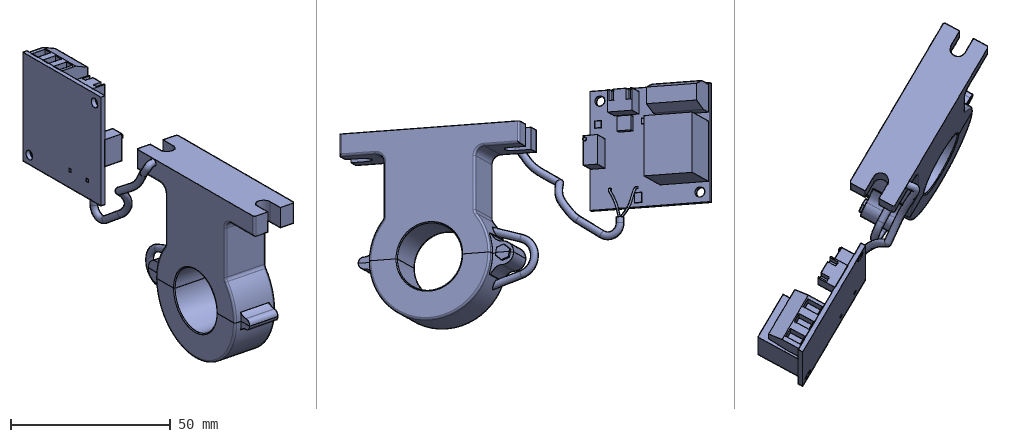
import cadquery as cq
import math


DEPTH = 16.1
RING_RADIUS = 20.2
BORE_RADIUS = 10.8
BORE_CHAMFER = 0.4
EDGE_FILLET = 0.7
NECK_WIDTH = 30.5
NECK_TOP_FILLET = 3.0
NECK_BASE_FILLET = 2.0
FLANGE_WIDTH = 60.0
FLANGE_TOP = 41.2
FLANGE_HEIGHT = 7.1
SLOT_WIDTH = 5.0
SLOT_LENGTH = 7.8
SLOT_Y = 7.9

LUG_FRONT = 2.5
LUG_BACK = 13.7
LATCH_TIP_X = -27.2
LATCH_HALF = 3.8
LATCH_ROOT_X = -19.4
LATCH_ROOT_HALF = 6.6
HINGE_TIP_X = 24.6
HINGE_HALF = 1.9
HINGE_ROOT_X = 19.5
HINGE_ROOT_HALF = 3.5
SCREW_X = -23.9
SCREW_ACROSS_CORNERS = 5.1
SCREW_HEAD_HEIGHT = 1.1
SCREW_TURN = 10

CABLE_DIAMETER = 2.5
CABLE_RADIUS = CABLE_DIAMETER / 2
CABLE_Y = 6.3
LOOP_RADIUS = 6.0
LOOP_CENTER_X = -25.4
LOOP_SLOPE = 17
LOOP_LEG = 10.6
CABLE_END = (-59.9, CABLE_Y, 10.2)
CABLE_STRAIGHT = 1.9
CABLE_BEND_RADIUS = 3.8
CABLE_RISE = 33
CABLE_RISE_LENGTH = 9.6
CABLE_LOWER_POINTS = ((-42.7, 5.9, 13.6), (-38.8, 3.3, 18.7))
CABLE_KINK = (-37.0, -1.5, 24.2)
CABLE_KINK_ARRIVAL = (0.2, -0.8, 0.6)
CABLE_KINK_DEPARTURE = (0.8, 0, 0.5)
CABLE_UPPER_POINTS = ((-27.8, -1.5, 30.4), (-22.9, -2.6, 36.4), (-21.0, -2.6, 39), (-21.4, 0.6, 39.9))

WIRE_RADIUS = 0.4
WIRE_OVERLAP = 0.6
LEFT_WIRE_BEND = (-62.5, 4.6, 14.4)
RIGHT_WIRE_BEND = (-57.8, 5.4, 16.0)

BOARD_LEFT = -88.1
BOARD_TOP = 52.1
BOARD_WIDTH = 39.9
BOARD_HEIGHT = 38.0
BOARD_THICKNESS = 1.7
BOARD_HOLE_DIAMETER = 3.2
BOARD_HOLE_INSET = 3.3
PIN_SIZE = 1.1
PIN_STICK_OUT = 0.1
LEFT_PIN_X = -63.9
RIGHT_PIN_X = -55.1
PIN_Z = 20.3

TERMINAL_LEFT = -87.7
TERMINAL_WIDTH = 16.7
TERMINAL_TOP = 51.6
TERMINAL_BOTTOM = 42.7
TERMINAL_BACK = 12.5
TERMINAL_BACK_TOP = 49.7
TERMINAL_BACK_BOTTOM = 44.4
TERMINAL_TOP_TAPER_Y = 7.7
TERMINAL_BOTTOM_TAPER_Y = 6.3
POCKET_FRONT = 2.0
POCKET_BACK = 7.2
POCKET_WIDTH = 3.0
POCKET_PITCH = 5.5
POCKET_DEPTH = 4.7
FIRST_POCKET_X = -84.7
POCKET_COUNT = 3

RELAY_WIDTH = 16.1
RELAY_BACK = 16.4
RELAY_TOP = 39.8
RELAY_BOTTOM = 20.6

CONNECTOR_LEFT = -64.5
CONNECTOR_WIDTH = 8.2
CONNECTOR_BACK = 7.9
CONNECTOR_TOP = 50.9
CONNECTOR_BOTTOM = 43.7
NOTCH_FRONT = 5.0
NOTCH_WIDTH = 1.5
NOTCH_WALL = 0.5
NOTCH_DEPTH = 3.5

TRIMMER_LEFT = -53.2
TRIMMER_WIDTH = 4.7
TRIMMER_BACK = 8.5
TRIMMER_BOTTOM = 27.2
TRIMMER_TOP = 36.6
TRIMMER_SCREW_RADIUS = 0.6
TRIMMER_SCREW_BACK = 9.0

CHIP_X = (-62.6, -57.9)
CHIP_BACK = 3.7
CHIP_Z = (38.4, 43.1)
SMALL_PART_BACK = 2.2
SMALL_PARTS = (
    (-70.1, -67.7, 40.2, 42.4),
    (-67.7, -65.6, 40.4, 42.2),
    (-65.6, -63.2, 15.4, 18.5),
    (-52.1, -50.0, 40.2, 42.4),
)


def block(x_range, y_range, z_range):
    """A box between two coordinates along each axis."""
    low, high = zip(x_range, y_range, z_range)
    sizes = [b - a for a, b in zip(low, high)]
    return cq.Workplane("XY").box(*sizes, centered=False).translate(low)


def front_plane(y):
    """A sketch plane at depth y with local axes X and Z; a negative extrusion goes toward +Y."""
    return cq.Workplane("XZ", origin=(0, y, 0))


def tube(edges, radius):
    """A round bar along connected edges."""
    start_plane = cq.Plane(origin=edges[0].startPoint(), normal=edges[0].tangentAt(0))
    path = cq.Workplane(cq.Wire.assembleEdges(edges))
    return cq.Workplane(start_plane).circle(radius).sweep(path)


def vectors(points):
    """Vectors from coordinate triples."""
    return [cq.Vector(*point) for point in points]


def sensor_blank():
    """Ring, neck and flange, with rounded rims and a sharp top face."""
    flange_bottom = FLANGE_TOP - FLANGE_HEIGHT
    untrimmed_top = FLANGE_TOP + 2 * EDGE_FILLET
    half_neck = NECK_WIDTH / 2
    ring = front_plane(0).circle(RING_RADIUS).extrude(-DEPTH)
    neck = block((-half_neck, half_neck), (0, DEPTH), (0, flange_bottom))
    flange = block((-FLANGE_WIDTH / 2, FLANGE_WIDTH / 2), (0, DEPTH), (flange_bottom, untrimmed_top))
    blank = ring.union(neck).union(flange)

    neck_base = math.sqrt(RING_RADIUS**2 - half_neck**2)
    for corner_z, radius in ((flange_bottom, NECK_TOP_FILLET), (neck_base, NECK_BASE_FILLET)):
        for corner_x in (-half_neck, half_neck):
            corner = cq.selectors.NearestToPointSelector((corner_x, DEPTH / 2, corner_z))
            blank = blank.edges("|Y").edges(corner).fillet(radius)

    blank = blank.faces("<Y or >Y").edges().fillet(EDGE_FILLET)
    trim = block((-FLANGE_WIDTH, FLANGE_WIDTH), (0, DEPTH), (FLANGE_TOP, untrimmed_top))
    return blank.cut(trim)


def flange_slot(side):
    """An open mounting slot with a round inner end; side is -1 for -X and 1 for +X."""
    inner_x = side * (FLANGE_WIDTH / 2 - SLOT_LENGTH)
    half_width = SLOT_WIDTH / 2
    arc_x = inner_x + side * half_width
    outer_x = side * FLANGE_WIDTH
    return (
        cq.Workplane("XY", origin=(0, 0, FLANGE_TOP - FLANGE_HEIGHT))
        .moveTo(outer_x, SLOT_Y - half_width)
        .lineTo(arc_x, SLOT_Y - half_width)
        .threePointArc((inner_x, SLOT_Y), (arc_x, SLOT_Y + half_width))
        .lineTo(outer_x, SLOT_Y + half_width)
        .close()
        .extrude(FLANGE_HEIGHT)
    )


def lug(side, tip_x, half, root_x, root_half):
    """A lug with a fully rounded tip that flares out smoothly where it meets the ring."""
    inside_x = side * (BORE_RADIUS + RING_RADIUS) / 2
    flare_x = tip_x - side * half
    return (
        front_plane(LUG_FRONT)
        .moveTo(inside_x, -root_half)
        .lineTo(root_x, -root_half)
        .spline([(flare_x, -half)], tangents=[(side, 1), (side, 0)], includeCurrent=True)
        .threePointArc((tip_x, 0), (flare_x, half))
        .spline([(root_x, root_half)], tangents=[(-side, 0), (-side, 1)], includeCurrent=True)
        .lineTo(inside_x, root_half)
        .close()
        .extrude(LUG_FRONT - LUG_BACK)
    )


def latch_screw():
    """A hexagonal head on the back of the latch lug."""
    return (
        front_plane(LUG_BACK)
        .center(SCREW_X, 0)
        .transformed(rotate=(0, 0, 90 + SCREW_TURN))
        .polygon(6, SCREW_ACROSS_CORNERS)
        .extrude(-SCREW_HEAD_HEIGHT)
    )


def bore():
    """The conductor opening with a small chamfer at both ends."""
    mouth = BORE_RADIUS + BORE_CHAMFER
    return (
        cq.Workplane("XY")
        .polyline([
            (0, 0),
            (mouth, 0),
            (BORE_RADIUS, BORE_CHAMFER),
            (BORE_RADIUS, DEPTH - BORE_CHAMFER),
            (mouth, DEPTH),
            (0, DEPTH),
        ])
        .close()
        .revolve(360, (0, 0, 0), (0, 1, 0))
    )


def sensor():
    """Both halves of the sensor housing in one piece."""
    latch = lug(-1, LATCH_TIP_X, LATCH_HALF, LATCH_ROOT_X, LATCH_ROOT_HALF)
    hinge = lug(1, HINGE_TIP_X, HINGE_HALF, HINGE_ROOT_X, HINGE_ROOT_HALF)
    housing = sensor_blank().cut(flange_slot(-1)).cut(flange_slot(1))
    return housing.union(latch).union(hinge).union(latch_screw()).cut(bore())


def half_space(z_range):
    """A block larger than the sensor in X and Y that keeps only one range of heights."""
    return block((-2 * FLANGE_WIDTH, 2 * FLANGE_WIDTH), (-DEPTH, 2 * DEPTH), z_range)


def latch_loop():
    """A cable loop that leaves the upper half, rounds the latch and meets the lower half."""
    slope = math.radians(LOOP_SLOPE)
    arc_x = LOOP_CENTER_X - LOOP_RADIUS * math.sin(slope)
    arc_z = LOOP_RADIUS * math.cos(slope)
    leg_x = arc_x + LOOP_LEG * math.cos(slope)
    leg_z = arc_z + LOOP_LEG * math.sin(slope)
    top_leg, top_arc, tip, low_arc, low_leg = vectors([
        (leg_x, CABLE_Y, leg_z),
        (arc_x, CABLE_Y, arc_z),
        (LOOP_CENTER_X - LOOP_RADIUS, CABLE_Y, 0),
        (arc_x, CABLE_Y, -arc_z),
        (leg_x, CABLE_Y, -leg_z),
    ])
    edges = [
        cq.Edge.makeLine(top_leg, top_arc),
        cq.Edge.makeThreePointArc(top_arc, tip, low_arc),
        cq.Edge.makeLine(low_arc, low_leg),
    ]
    return tube(edges, CABLE_RADIUS)


def board_cable():
    """The cable from the board wires, under the board and up to the front of the flange."""
    bend_center_x = CABLE_END[0] + CABLE_BEND_RADIUS
    bend_z = CABLE_END[2] - CABLE_STRAIGHT
    rise = math.radians(CABLE_RISE)

    def on_bend(angle):
        return cq.Vector(
            bend_center_x + CABLE_BEND_RADIUS * math.cos(angle),
            CABLE_Y,
            bend_z + CABLE_BEND_RADIUS * math.sin(angle),
        )

    bend_end_angle = rise - math.pi / 2
    bend_start = on_bend(math.pi)
    bend_end = on_bend(bend_end_angle)
    rise_direction = cq.Vector(math.cos(rise), 0, math.sin(rise))
    rise_end = bend_end + rise_direction * CABLE_RISE_LENGTH
    kink = cq.Vector(*CABLE_KINK)

    lower = [
        cq.Edge.makeLine(cq.Vector(*CABLE_END), bend_start),
        cq.Edge.makeThreePointArc(bend_start, on_bend((bend_end_angle - math.pi) / 2), bend_end),
        cq.Edge.makeLine(bend_end, rise_end),
        cq.Edge.makeSpline(
            [rise_end, *vectors(CABLE_LOWER_POINTS), kink],
            tangents=[rise_direction, cq.Vector(*CABLE_KINK_ARRIVAL)],
        ),
    ]
    upper = [
        cq.Edge.makeSpline(
            [kink, *vectors(CABLE_UPPER_POINTS)],
            tangents=[cq.Vector(*CABLE_KINK_DEPARTURE), cq.Vector(0, 1, 0)],
        )
    ]
    joint = cq.Workplane(origin=CABLE_KINK).sphere(CABLE_RADIUS)
    return tube(lower, CABLE_RADIUS).union(joint).union(tube(upper, CABLE_RADIUS))


def wire(pin_x, bend_point):
    """A thin wire from inside the cable end, past a bend point and into the board at one pin."""
    start = cq.Vector(*CABLE_END) - cq.Vector(0, 0, WIRE_OVERLAP)
    bend = cq.Vector(*bend_point)
    end = cq.Vector(pin_x, BOARD_THICKNESS / 2, PIN_Z)
    spline = cq.Edge.makeSpline([start, bend, end], tangents=[bend - start, cq.Vector(0, -1, 0)])
    return tube([spline], WIRE_RADIUS)


def board():
    """The bare board with two mounting holes and two pin ends on its front."""
    right = BOARD_LEFT + BOARD_WIDTH
    bottom = BOARD_TOP - BOARD_HEIGHT
    holes = (
        front_plane(0)
        .pushPoints([
            (BOARD_LEFT + BOARD_HOLE_INSET, bottom + BOARD_HOLE_INSET),
            (right - BOARD_HOLE_INSET, BOARD_TOP - BOARD_HOLE_INSET),
        ])
        .circle(BOARD_HOLE_DIAMETER / 2)
        .extrude(-BOARD_THICKNESS)
    )
    pins = (
        front_plane(-PIN_STICK_OUT)
        .pushPoints([(LEFT_PIN_X, PIN_Z), (RIGHT_PIN_X, PIN_Z)])
        .rect(PIN_SIZE, PIN_SIZE)
        .extrude(-BOARD_THICKNESS)
    )
    plate = block((BOARD_LEFT, right), (0, BOARD_THICKNESS), (bottom, BOARD_TOP))
    return plate.cut(holes).union(pins)


def terminal_block():
    """A tapered block with three wire pockets in its top."""
    body = (
        cq.Workplane("YZ", origin=(TERMINAL_LEFT, 0, 0))
        .polyline([
            (BOARD_THICKNESS, TERMINAL_BOTTOM),
            (TERMINAL_BOTTOM_TAPER_Y, TERMINAL_BOTTOM),
            (TERMINAL_BACK, TERMINAL_BACK_BOTTOM),
            (TERMINAL_BACK, TERMINAL_BACK_TOP),
            (TERMINAL_TOP_TAPER_Y, TERMINAL_TOP),
            (BOARD_THICKNESS, TERMINAL_TOP),
        ])
        .close()
        .extrude(TERMINAL_WIDTH)
    )
    for index in range(POCKET_COUNT):
        center_x = FIRST_POCKET_X + index * POCKET_PITCH
        pocket = block(
            (center_x - POCKET_WIDTH / 2, center_x + POCKET_WIDTH / 2),
            (POCKET_FRONT, POCKET_BACK),
            (TERMINAL_TOP - POCKET_DEPTH, TERMINAL_TOP),
        )
        body = body.cut(pocket)
    return body


def relay():
    """A plain tall box below the terminal block."""
    return block(
        (TERMINAL_LEFT, TERMINAL_LEFT + RELAY_WIDTH),
        (BOARD_THICKNESS, RELAY_BACK),
        (RELAY_BOTTOM, RELAY_TOP),
    )


def connector():
    """A plug socket with a notch near each back corner of its top."""
    right = CONNECTOR_LEFT + CONNECTOR_WIDTH
    body = block(
        (CONNECTOR_LEFT, right),
        (BOARD_THICKNESS, CONNECTOR_BACK),
        (CONNECTOR_BOTTOM, CONNECTOR_TOP),
    )
    for notch_left in (CONNECTOR_LEFT + NOTCH_WALL, right - NOTCH_WALL - NOTCH_WIDTH):
        notch = block(
            (notch_left, notch_left + NOTCH_WIDTH),
            (NOTCH_FRONT, CONNECTOR_BACK),
            (CONNECTOR_TOP - NOTCH_DEPTH, CONNECTOR_TOP),
        )
        body = body.cut(notch)
    return body


def trimmer():
    """A box-shaped trimmer with a small adjusting screw in one corner of its back."""
    right = TRIMMER_LEFT + TRIMMER_WIDTH
    body = block((TRIMMER_LEFT, right), (BOARD_THICKNESS, TRIMMER_BACK), (TRIMMER_BOTTOM, TRIMMER_TOP))
    screw = (
        front_plane(BOARD_THICKNESS)
        .center(right - TRIMMER_SCREW_RADIUS, TRIMMER_TOP - 2 * TRIMMER_SCREW_RADIUS)
        .circle(TRIMMER_SCREW_RADIUS)
        .extrude(BOARD_THICKNESS - TRIMMER_SCREW_BACK)
    )
    return body.union(screw)


def small_parts():
    """A flat chip and the surface-mounted parts."""
    parts = [block(CHIP_X, (BOARD_THICKNESS, CHIP_BACK), CHIP_Z)]
    for left, right, bottom, top in SMALL_PARTS:
        parts.append(block((left, right), (BOARD_THICKNESS, SMALL_PART_BACK), (bottom, top)))
    return parts


def make_lower_half(housing):
    """The lower half of the split ring."""
    return housing.intersect(half_space((-FLANGE_WIDTH, 0)))


def make_upper_assembly(housing, lower_half):
    """The upper half with its flange, the cables and the populated circuit board."""
    body = housing.intersect(half_space((0, FLANGE_WIDTH)))
    body = body.union(latch_loop().cut(lower_half)).union(board_cable())
    wires = [wire(LEFT_PIN_X, LEFT_WIRE_BEND), wire(RIGHT_PIN_X, RIGHT_WIRE_BEND)]
    for part in (*wires, board(), terminal_block(), relay(), connector(), trimmer(), *small_parts()):
        body = body.union(part)
    return body


housing = sensor()
lower_half = make_lower_half(housing)
upper_assembly = make_upper_assembly(housing, lower_half)
result = cq.Compound.makeCompound([upper_assembly.val(), lower_half.val()])